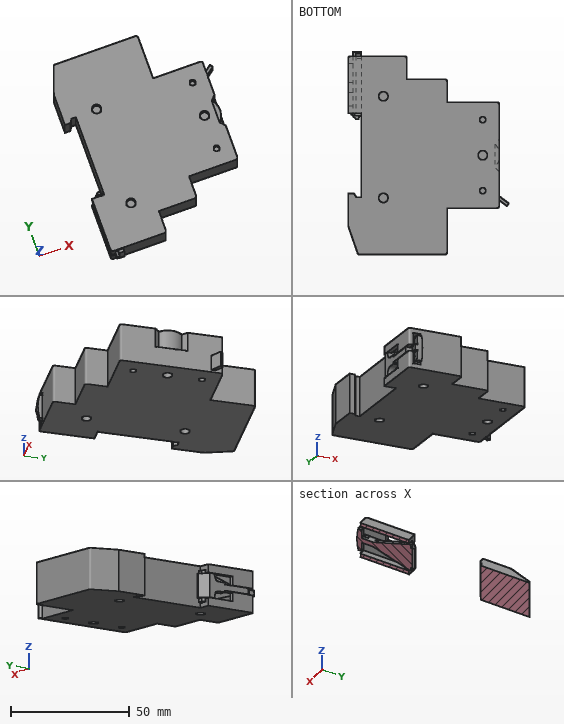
import cadquery as cq
import math

thickness = 18.0
mid_z = thickness / 2
top_y = 85.7
bottom_y = 1.8
rail_face_x = 5.5
shelf_y = 26.0
hook_y = 59.7
hook_root_y = 61.4
hook_lip_x = 2.4
hook_root_x = 3.5
slant_start_y = 73.6
slant_end_x = 4.2
shoulder_x = 41.9
front_x = 63.9
front_bottom_y = 21.25
front_top_y = 66.1
front_mid_y = (front_bottom_y + front_top_y) / 2
terminal_x = 24.85
terminal_y = 11.5
corner_radius = 1.0

large_rivet_radius = 2.0
small_rivet_radius = 1.3
rivet_recess = 3.4
rear_rivet_x = 14.9
front_rivet_x = 56.9
lower_rivet_y = 18.8
upper_rivet_y = 61.7
small_rivet_offset = 15.0
rivets_xyr = [
    (rear_rivet_x, lower_rivet_y, large_rivet_radius),
    (rear_rivet_x, upper_rivet_y, large_rivet_radius),
    (front_rivet_x, front_mid_y, large_rivet_radius),
    (front_rivet_x, front_mid_y - small_rivet_offset, small_rivet_radius),
    (front_rivet_x, front_mid_y + small_rivet_offset, small_rivet_radius),
]

notch_depth = 2.05
notch_inner_half = 5.0
notch_outer_half = notch_inner_half + notch_depth
notch_x = front_x - notch_depth
thumbwheel_thickness = mid_z

lever_tip_x = 68.0
lever_tip_y = 64.0
lever_angle = math.radians(37)
lever_gauge = 1.45
lever_bottom_z = 1.0
lever_width = 7.1

channel_x = 2.05
channel_half_width = 6.9
window_half_width = 5.4
window_end_y = 12.85
slit_half_width = 1.45

plate_x = 3.2
head_half_width = 5.2
shoulder_half_width = 4.1
throat_end_y = 22.45
neck_half_width = 2.05
neck_start_y = 20.1
neck_end_y = 17.05
stem_half_width = 1.3
stem_end_y = 4.7
hook_toe_y = 25.1
nose_y = 28.5
nose_start_x = 3.5
nose_end_x = 4.4
flange_y = 27.0
flange_half_width = 6.8
nose_foot_x = 4.9
taper_slope = 0.31
handle_y = 2.65
handle_half_width = 5.65
handle_sagitta = 0.7


def box(x0, x1, y0, y1, z0, z1):
    """Axis-aligned block between two opposite corners."""
    return cq.Workplane("XY").box(x1 - x0, y1 - y0, z1 - z0, centered=False).translate((x0, y0, z0))


def centred_box(x0, x1, y0, y1, half_width):
    """Block that is symmetric about the middle of the thickness."""
    return box(x0, x1, y0, y1, mid_z - half_width, mid_z + half_width)


def extrude_in_x(outline, x0, x1):
    """Extrude a YZ outline between two X planes."""
    return outline.extrude(x1 - x0).translate((x0, 0, mid_z))


def extrude_across(outline, half_width):
    """Extrude a closed XY point list symmetrically about the middle of the thickness."""
    solid = cq.Workplane("XY").polyline(outline).close().extrude(2 * half_width)
    return solid.translate((0, 0, mid_z - half_width))


def thumbwheel_notch():
    """Trapezoidal notch, open to the top and to the operating face."""
    outline = [
        (front_x, front_mid_y - notch_outer_half),
        (notch_x, front_mid_y - notch_inner_half),
        (notch_x, front_mid_y + notch_inner_half),
        (front_x, front_mid_y + notch_outer_half),
    ]
    notch = cq.Workplane("XY").polyline(outline).close().extrude(thumbwheel_thickness)
    return notch.translate((0, 0, thickness - thumbwheel_thickness))


def make_housing():
    """Stepped case with its rail channel, foot channel, notch and rivet holes."""
    outline = [
        (0, bottom_y),
        (terminal_x, bottom_y),
        (terminal_x, terminal_y),
        (shoulder_x, terminal_y),
        (shoulder_x, front_bottom_y),
        (front_x, front_bottom_y),
        (front_x, front_top_y),
        (shoulder_x, front_top_y),
        (shoulder_x, top_y),
        (slant_end_x, top_y),
        (0, slant_start_y),
        (0, hook_y),
        (hook_lip_x, hook_y),
        (hook_root_x, hook_root_y),
        (rail_face_x, hook_root_y),
        (rail_face_x, shelf_y),
        (0, shelf_y),
    ]
    housing = cq.Workplane("XY").polyline(outline).close().extrude(thickness)

    rounded_corners = [
        (0, bottom_y),
        (terminal_x, bottom_y),
        (shoulder_x, terminal_y),
        (front_x, front_bottom_y),
        (front_x, front_top_y),
        (shoulder_x, top_y),
        (slant_end_x, top_y),
    ]
    for x, y in rounded_corners:
        corner = cq.selectors.NearestToPointSelector((x, y, mid_z))
        housing = housing.edges("|Z").edges(corner).fillet(corner_radius)

    housing = housing.cut(centred_box(channel_x, rail_face_x, bottom_y, shelf_y, channel_half_width))
    housing = housing.cut(centred_box(0, channel_x, window_end_y, shelf_y, window_half_width))
    housing = housing.cut(centred_box(0, channel_x, bottom_y, window_end_y, slit_half_width))

    housing = housing.cut(thumbwheel_notch())
    for x, y, radius in rivets_xyr:
        housing = housing.cut(cq.Workplane("XY").center(x, y).circle(radius).extrude(thickness))
    return housing


def make_rivet(x, y, radius):
    """Pin in a through hole, sunk below both sides of the housing."""
    length = thickness - 2 * rivet_recess
    return cq.Workplane("XY", origin=(x, y, rivet_recess)).circle(radius).extrude(length)


def make_thumbwheel():
    """Circular segment whose crown is flush with the operating face."""
    segment = (
        cq.Workplane("XY", origin=(0, 0, thickness - thumbwheel_thickness))
        .moveTo(notch_x, front_mid_y - notch_inner_half)
        .threePointArc((front_x, front_mid_y), (notch_x, front_mid_y + notch_inner_half))
        .close()
    )
    return segment.extrude(thumbwheel_thickness)


def make_lever():
    """Tilted flat bar that meets the operating face."""
    upper_tip_x = lever_tip_x - lever_gauge * math.sin(lever_angle)
    upper_tip_y = lever_tip_y + lever_gauge * math.cos(lever_angle)
    slope = math.tan(lever_angle)
    outline = [
        (front_x, lever_tip_y - slope * (lever_tip_x - front_x)),
        (lever_tip_x, lever_tip_y),
        (upper_tip_x, upper_tip_y),
        (front_x, upper_tip_y - slope * (upper_tip_x - front_x)),
    ]
    return cq.Workplane("XY", origin=(0, 0, lever_bottom_z)).polyline(outline).close().extrude(lever_width)


def trim_to_shoulder(solid):
    """Round the lower corners with quarter circles that end on the flange sides."""
    radius = flange_half_width - shoulder_half_width
    profile = (
        cq.Workplane("YZ")
        .moveTo(nose_y, flange_half_width)
        .lineTo(throat_end_y + radius, flange_half_width)
        .radiusArc((throat_end_y, shoulder_half_width), -radius)
        .lineTo(throat_end_y, -shoulder_half_width)
        .radiusArc((throat_end_y + radius, -flange_half_width), -radius)
        .lineTo(nose_y, -flange_half_width)
        .close()
    )
    return solid.intersect(extrude_in_x(profile, 0, rail_face_x))


def foot_hook():
    """Sloped nose that snaps behind the rail."""
    outline = [
        (0, throat_end_y),
        (0, hook_toe_y),
        (nose_start_x, nose_y),
        (nose_end_x, nose_y),
        (nose_foot_x, flange_y),
        (plate_x, flange_y),
        (plate_x, throat_end_y),
    ]
    return trim_to_shoulder(extrude_across(outline, head_half_width))


def foot_flange():
    """Wide lip above the shelf, bevelled towards the hook and rounded below."""
    outline = [
        (channel_x, throat_end_y),
        (channel_x, flange_y - (plate_x - channel_x)),
        (plate_x, flange_y),
        (plate_x, throat_end_y),
    ]
    return trim_to_shoulder(extrude_across(outline, flange_half_width))


def foot_stem():
    """Outer layer: concave throat under the hook, a short neck and a long narrow stem."""
    throat_run = throat_end_y - neck_start_y
    throat_drop = shoulder_half_width - neck_half_width
    bulge_y = throat_end_y - throat_run * (1 - math.cos(math.pi / 4))
    bulge_z = neck_half_width + throat_drop * (1 - math.sin(math.pi / 4))
    outline = (
        cq.Workplane("YZ")
        .moveTo(throat_end_y, -shoulder_half_width)
        .lineTo(throat_end_y, shoulder_half_width)
        .threePointArc((bulge_y, bulge_z), (neck_start_y, neck_half_width))
        .lineTo(neck_end_y, neck_half_width)
        .lineTo(neck_end_y, stem_half_width)
        .lineTo(stem_end_y, stem_half_width)
        .lineTo(stem_end_y, -stem_half_width)
        .lineTo(neck_end_y, -stem_half_width)
        .lineTo(neck_end_y, -neck_half_width)
        .lineTo(neck_start_y, -neck_half_width)
        .threePointArc((bulge_y, -bulge_z), (throat_end_y, -shoulder_half_width))
        .close()
    )
    return extrude_in_x(outline, 0, plate_x)


def foot_plate():
    """Inner layer: tapers from the flange down to the stem and runs on to the handle."""
    taper_end_y = shelf_y - (flange_half_width - stem_half_width) / taper_slope
    side = [
        (flange_y, flange_half_width),
        (shelf_y, flange_half_width),
        (taper_end_y, stem_half_width),
        (handle_y, stem_half_width),
    ]
    mirrored_side = [(y, -z) for y, z in reversed(side)]
    outline = cq.Workplane("YZ").polyline(side + mirrored_side).close()
    return extrude_in_x(outline, plate_x, rail_face_x)


def foot_handle():
    """Curved pull bar with a narrow tongue on its outer face."""
    outline = (
        cq.Workplane("YZ")
        .moveTo(handle_y, -handle_half_width)
        .lineTo(handle_sagitta, -handle_half_width)
        .threePointArc((0, 0), (handle_sagitta, handle_half_width))
        .lineTo(handle_y, handle_half_width)
        .close()
    )
    bar = extrude_in_x(outline, channel_x, rail_face_x)
    side_width = handle_half_width - stem_half_width
    for z0 in (mid_z - handle_half_width, mid_z + stem_half_width):
        bar = bar.cut(box(channel_x, plate_x, 0, handle_y, z0, z0 + side_width))
    return bar


def make_foot():
    """Spring foot that slides in the housing and clips onto the rail."""
    parts = [foot_flange(), foot_stem(), foot_plate(), foot_handle()]
    foot = foot_hook()
    for part in parts:
        foot = foot.union(part)
    return foot


housing = make_housing()
foot = make_foot()
thumbwheel = make_thumbwheel()
lever = make_lever()
rivets = [make_rivet(x, y, radius) for x, y, radius in rivets_xyr]

result = cq.Compound.makeCompound([
    *housing.solids().vals(),
    *foot.solids().vals(),
    thumbwheel.val(),
    lever.val(),
    *[rivet.val() for rivet in rivets],
])